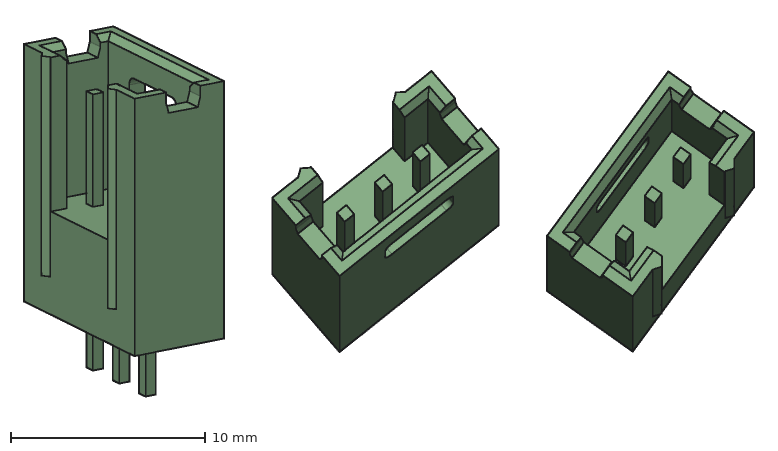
import cadquery as cq

width = 10.68
depth = 5.45
height = 13.97
wall_x = 1.04
wall_y = 0.97
cavity_depth = 8.37
lead_in_width = 0.41
lead_in_depth = 0.35
front_slot_width = 5.47

ridge_length = 11.92
ridge_width = 0.8
ridge_rise = 0.3
ridge_spacing = 6.38

window_width = 4.55
window_height = 1.98
window_drop = 1.69
window_radius = 0.45

notch_center_y = 0.25
notch_top_width = 2.09
notch_bottom_width = 1.78
notch_depth = 1.14
notch_straight_depth = 0.57

pin_count = 3
pin_pitch = 2.54
pin_size = 0.64
pin_y = -0.17
pin_tail = 3.28
pin_top_drop = 2.26

floor_z = height - cavity_depth
cavity_width = width - 2 * wall_x
cavity_length = depth - 2 * wall_y


def make_cavity():
    """Pocket open at the top, with a flared lead-in around its mouth."""
    pocket = (
        cq.Workplane("XY", origin=(0, 0, floor_z))
        .rect(cavity_width, cavity_length)
        .extrude(cavity_depth)
    )
    lead_in = (
        cq.Workplane("XY", origin=(0, 0, height - lead_in_depth))
        .rect(cavity_width, cavity_length)
        .workplane(offset=lead_in_depth)
        .rect(cavity_width + 2 * lead_in_width, cavity_length + 2 * lead_in_width)
        .loft(ruled=True)
    )
    return pocket.union(lead_in)


def make_front_slot():
    """Opening through the front wall, level with the cavity floor."""
    return cq.Workplane("XY").box(
        front_slot_width, depth / 2, cavity_depth, centered=(True, False, False)
    ).translate((0, -depth / 2, floor_z))


def make_window():
    """Rounded rectangular hole through the back wall."""
    return (
        cq.Workplane("XY")
        .box(window_width, depth / 2, window_height, centered=(True, False, False))
        .edges("|Y")
        .fillet(window_radius)
        .translate((0, 0, height - window_drop - window_height))
    )


def make_side_notches():
    """Straight-sided notch with a tapered bottom, cut through both side walls."""
    half_top = notch_top_width / 2
    half_bottom = notch_bottom_width / 2
    return (
        cq.Workplane("YZ", origin=(0, notch_center_y, height))
        .moveTo(-half_top, 0)
        .lineTo(-half_top, -notch_straight_depth)
        .lineTo(-half_bottom, -notch_depth)
        .lineTo(half_bottom, -notch_depth)
        .lineTo(half_top, -notch_straight_depth)
        .lineTo(half_top, 0)
        .close()
        .extrude(width / 2, both=True)
    )


def make_ridge(center_x):
    """Triangular guide ridge running down from the top of the front face."""
    return (
        cq.Workplane("XY", origin=(center_x, -depth / 2, height - ridge_length))
        .moveTo(-ridge_width / 2, 0)
        .lineTo(0, -ridge_rise)
        .lineTo(ridge_width / 2, 0)
        .close()
        .extrude(ridge_length)
    )


def make_pin(center_x):
    """Square pin passing through the floor of the housing."""
    return (
        cq.Workplane("XY", origin=(center_x, pin_y, -pin_tail))
        .rect(pin_size, pin_size)
        .extrude(pin_tail + height - pin_top_drop)
    )


result = cq.Workplane("XY").box(width, depth, height, centered=(True, True, False))
for cutter in (make_cavity(), make_front_slot(), make_window(), make_side_notches()):
    result = result.cut(cutter)

for side in (-1, 1):
    result = result.union(make_ridge(side * ridge_spacing / 2))

for index in range(pin_count):
    result = result.union(make_pin((index - (pin_count - 1) / 2) * pin_pitch))